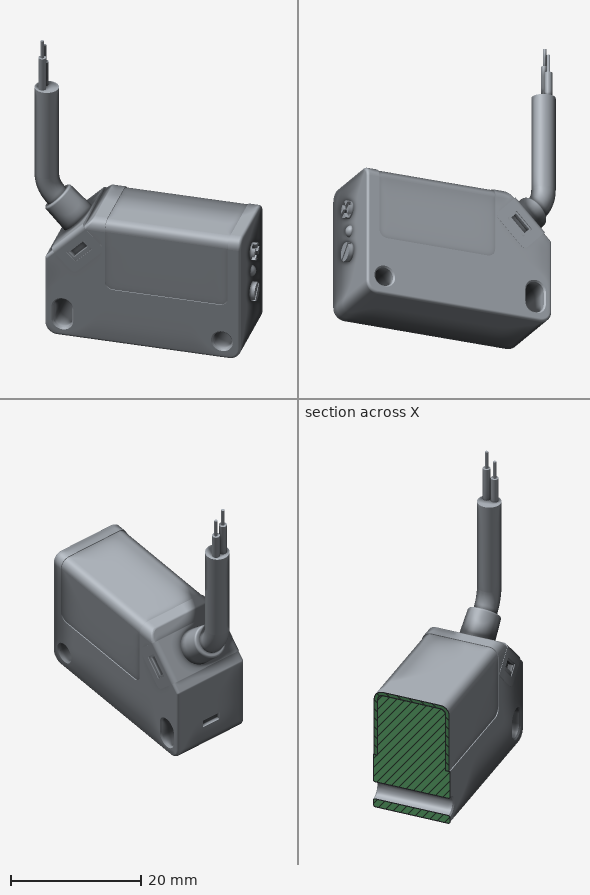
import cadquery as cq
import math


HOUSING_LENGTH = 31.2
HOUSING_WIDTH = 12.95
HOUSING_HEIGHT = 21.05
BOTTOM_CORNER_RADIUS = 1.95
TOP_EDGE_RADIUS = 1.7
EDGE_RADIUS = 0.45
SLOPE_START_HEIGHT = 13.5
SLOPE_ANGLE = 45.0
SLOPE_RUN = (HOUSING_HEIGHT - SLOPE_START_HEIGHT) / math.tan(math.radians(SLOPE_ANGLE))

HOLE_DIAMETER = 3.0
HOLE_CHAMFER = 0.25
SLOT_HOLE_X = 2.8
SLOT_HOLE_Z = 3.9
SLOT_HOLE_LENGTH = 5.0
ROUND_HOLE_X = 28.25
ROUND_HOLE_Z = 3.0

NOTCH_WIDTH = 3.2
NOTCH_BOTTOM = 4.35
NOTCH_BACK_TOP = 4.95
NOTCH_MOUTH_TOP = 5.65
NOTCH_DEPTH = 0.65

COVER_START = 9.55
COVER_END = 29.15
COVER_BOTTOM = 9.35
COVER_CORNER_RADIUS = 1.35
COVER_RECESS = 0.15
COVER_THICKNESS = 0.6

CABLE_DIAMETER = 3.75
CABLE_X = -1.5
CABLE_TOP = 39.8
BEND_START_HEIGHT = 24.6
BEND_RADIUS = 5.15
WIRE_X_OFFSET = 0.55
WIRE_X = CABLE_X - WIRE_X_OFFSET
WIRE_Y_OFFSET = 0.68
INSULATION_DIAMETER = 1.2
CONDUCTOR_DIAMETER = 0.55
CONDUCTOR_LENGTH = 2.95
WIRE_SEAT_DEPTH = 1.45
OVERALL_HEIGHT = 48.25
SHORT_WIRE_DROP = 1.45

GLAND_WIDTH = 13.05
GLAND_LENGTH = 7.0
GLAND_PROUD = 0.4
GLAND_SEAT_DEPTH = 4.85
GLAND_CORNER_RADIUS = 0.8
SLEEVE_LENGTH = 4.7
SLEEVE_BASE_DIAMETER = 5.7
SLEEVE_TIP_DIAMETER = 5.3
SLEEVE_TIP_RADIUS = 0.35
CABLE_SEAT_DEPTH = 2.4

WINDOW_LENGTH = 3.7
WINDOW_HEIGHT = 2.08
WINDOW_DEPTH_BELOW_SLOPE = 2.45
WINDOW_RECESS = 0.15
POCKET_MARGIN = 0.3
POCKET_HEIGHT = 1.1
POCKET_DEPTH = 0.95

UPPER_ADJUSTER_DIAMETER = 2.8
LOWER_ADJUSTER_DIAMETER = 3.0
ADJUSTER_PROUD = 0.8
ADJUSTER_SEAT_DEPTH = 0.7
DRIVER_SLOT_DEPTH = 0.6
UPPER_ADJUSTER_Z = 15.85
UPPER_SLOT_WIDTH = 0.75
UPPER_SLOT_ANGLES = [-26.0, 64.0]
LOWER_ADJUSTER_Z = 8.8
LOWER_SLOT_WIDTH = 0.4
LOWER_SLOT_ANGLES = [-42.0]
INDICATOR_DIAMETER = 1.9
INDICATOR_Z = 12.3
INDICATOR_RISE = 0.68
INDICATOR_SEAT_DEPTH = 0.7

BEND_TANGENT = BEND_RADIUS * math.tan(math.radians(SLOPE_ANGLE / 2))
AXIS_CORNER_Z = BEND_START_HEIGHT - BEND_TANGENT
GLAND_X = (CABLE_X + AXIS_CORNER_Z - SLOPE_START_HEIGHT) / 2
GLAND_Z = GLAND_X + SLOPE_START_HEIGHT
SLOPE_PLANE = cq.Plane(
    origin=(GLAND_X, 0, GLAND_Z),
    xDir=(math.cos(math.radians(SLOPE_ANGLE)), 0, math.sin(math.radians(SLOPE_ANGLE))),
    normal=(-math.sin(math.radians(SLOPE_ANGLE)), 0, math.cos(math.radians(SLOPE_ANGLE))),
)


def envelope(inset):
    """Bar with the housing's rounded top edges, moved inward by inset on the top and both sides."""
    bar = cq.Workplane("XY").box(
        HOUSING_LENGTH,
        HOUSING_WIDTH - 2 * inset,
        HOUSING_HEIGHT - inset,
        centered=(False, True, False),
    )
    return bar.edges("|X and >Z").fillet(TOP_EDGE_RADIUS - inset)


def housing_block():
    """Housing outside: rounded lower corners, sloped cable end and softened edges."""
    block = envelope(0).edges("|Y and <Z").fillet(BOTTOM_CORNER_RADIUS)
    corner = (
        cq.Workplane("XZ")
        .polyline([(0, SLOPE_START_HEIGHT), (SLOPE_RUN, HOUSING_HEIGHT), (0, HOUSING_HEIGHT)])
        .close()
        .extrude(HOUSING_WIDTH, both=True)
    )
    block = block.cut(corner)
    sharp_edges = "<(1, 0, -1) or %CIRCLE or |Z or (|X and <Z) or (|Y and >Z)"
    return block.edges(sharp_edges).fillet(EDGE_RADIUS)


def side_plane(x, z):
    return cq.Workplane("XZ", origin=(x, -HOUSING_WIDTH / 2, z))


def chamfered_bore(outline, mouth_outline):
    """Bore across the whole width, widened by a chamfer at both mouths."""
    bore = outline.extrude(-HOUSING_WIDTH)
    mouth = mouth_outline.extrude(-HOLE_CHAMFER, taper=45)
    return bore.union(mouth).union(mouth.mirror("XZ"))


def slot_hole():
    growth = 2 * HOLE_CHAMFER
    return chamfered_bore(
        side_plane(SLOT_HOLE_X, SLOT_HOLE_Z).slot2D(SLOT_HOLE_LENGTH, HOLE_DIAMETER, 90),
        side_plane(SLOT_HOLE_X, SLOT_HOLE_Z).slot2D(SLOT_HOLE_LENGTH + growth, HOLE_DIAMETER + growth, 90),
    )


def round_hole():
    return chamfered_bore(
        side_plane(ROUND_HOLE_X, ROUND_HOLE_Z).circle(HOLE_DIAMETER / 2),
        side_plane(ROUND_HOLE_X, ROUND_HOLE_Z).circle(HOLE_DIAMETER / 2 + HOLE_CHAMFER),
    )


def latch_notch():
    """Notch in the cable-end face whose ceiling falls toward its back wall."""
    return (
        cq.Workplane("XZ")
        .polyline(
            [
                (0, NOTCH_BOTTOM),
                (NOTCH_DEPTH, NOTCH_BOTTOM),
                (NOTCH_DEPTH, NOTCH_BACK_TOP),
                (0, NOTCH_MOUTH_TOP),
            ]
        )
        .close()
        .extrude(NOTCH_WIDTH / 2, both=True)
    )


def cover_zone():
    """Region across the housing that the cover spans, open at the top."""
    zone = cq.Workplane("XY").box(
        COVER_END - COVER_START,
        2 * HOUSING_WIDTH,
        HOUSING_HEIGHT,
        centered=(False, True, False),
    )
    return (
        zone.translate((COVER_START, 0, COVER_BOTTOM))
        .edges("|Y and <Z")
        .fillet(COVER_CORNER_RADIUS)
    )


def cover_pocket():
    return cover_zone().cut(envelope(COVER_RECESS + COVER_THICKNESS))


def make_cover():
    return cover_pocket().intersect(envelope(COVER_RECESS))


def gland_block():
    """Block through the slope, with its two inner corners rounded."""
    block = cq.Workplane(SLOPE_PLANE).box(
        GLAND_LENGTH, GLAND_WIDTH, GLAND_PROUD + GLAND_SEAT_DEPTH, centered=(True, True, False)
    )
    block = block.translate(SLOPE_PLANE.zDir * -GLAND_SEAT_DEPTH)
    return block.edges("|Y and <(-1, 0, 1)").fillet(GLAND_CORNER_RADIUS)


def gland_sleeve():
    """Tapered sleeve around the cable, rounded at its tip."""
    taper = math.degrees(
        math.atan((SLEEVE_BASE_DIAMETER - SLEEVE_TIP_DIAMETER) / 2 / SLEEVE_LENGTH)
    )
    return (
        cq.Workplane(SLOPE_PLANE)
        .workplane(offset=GLAND_PROUD)
        .circle(SLEEVE_BASE_DIAMETER / 2)
        .extrude(SLEEVE_LENGTH, taper=taper)
        .faces(">(-1, 0, 1)")
        .edges()
        .fillet(SLEEVE_TIP_RADIUS)
    )


def latch_window():
    """Shallow recess with a deeper pocket beside its outer edge, in the -Y side of the gland."""
    depth_axis = -WINDOW_DEPTH_BELOW_SLOPE
    outer_edge = depth_axis + WINDOW_HEIGHT / 2
    pocket_center = outer_edge - POCKET_MARGIN - POCKET_HEIGHT / 2
    side = -GLAND_WIDTH / 2
    plane = cq.Workplane(SLOPE_PLANE)
    recess = plane.box(WINDOW_LENGTH, 2 * WINDOW_RECESS, WINDOW_HEIGHT)
    pocket = plane.box(WINDOW_LENGTH - 2 * POCKET_MARGIN, 2 * POCKET_DEPTH, POCKET_HEIGHT)
    recess = recess.translate(SLOPE_PLANE.yDir * side + SLOPE_PLANE.zDir * depth_axis)
    pocket = pocket.translate(SLOPE_PLANE.yDir * side + SLOPE_PLANE.zDir * pocket_center)
    return recess.union(pocket)


def make_gland(cable):
    block = gland_block().faces(">(-1, 0, 1)").edges("not |Y").fillet(GLAND_CORNER_RADIUS)
    window = latch_window()
    gland = block.union(gland_sleeve())
    return gland.cut(window).cut(window.mirror("XZ")).cut(cable)


def make_cable():
    """Cable that comes straight down, bends toward the slope and ends inside the gland."""
    turn = math.radians(SLOPE_ANGLE)
    bend_center_x = CABLE_X + BEND_RADIUS
    bend_middle = (
        bend_center_x - BEND_RADIUS * math.cos(turn / 2),
        BEND_START_HEIGHT - BEND_RADIUS * math.sin(turn / 2),
    )
    bend_end = (
        bend_center_x - BEND_RADIUS * math.cos(turn),
        BEND_START_HEIGHT - BEND_RADIUS * math.sin(turn),
    )
    seat = GLAND_PROUD + SLEEVE_LENGTH - CABLE_SEAT_DEPTH
    seat_center = (GLAND_X - seat * math.sin(turn), GLAND_Z + seat * math.cos(turn))
    path = (
        cq.Workplane("XZ")
        .moveTo(CABLE_X, CABLE_TOP)
        .lineTo(CABLE_X, BEND_START_HEIGHT)
        .threePointArc(bend_middle, bend_end)
        .lineTo(*seat_center)
    )
    end_face = cq.Workplane("XY", origin=(CABLE_X, 0, CABLE_TOP)).circle(CABLE_DIAMETER / 2)
    return end_face.sweep(path)


def make_wire(y, top):
    """Insulated wire seated in the cable end, with a stripped conductor at its top."""
    start = CABLE_TOP - WIRE_SEAT_DEPTH
    insulation_top = top - CONDUCTOR_LENGTH
    return (
        cq.Workplane("XY", origin=(WIRE_X, y, start))
        .circle(INSULATION_DIAMETER / 2)
        .extrude(insulation_top - start)
        .faces(">Z")
        .workplane()
        .circle(CONDUCTOR_DIAMETER / 2)
        .extrude(CONDUCTOR_LENGTH)
    )


def end_face_plane(z):
    """Plane on the far end face, with its local x along +Y and its local y along +Z."""
    return cq.Workplane("YZ", origin=(HOUSING_LENGTH, 0, z))


def make_adjuster(diameter, z, slot_width, slot_angles):
    """Round adjuster with driver slots across its face; each angle tilts a slot's -Y end upward."""
    adjuster = (
        end_face_plane(z)
        .workplane(offset=-ADJUSTER_SEAT_DEPTH)
        .circle(diameter / 2)
        .extrude(ADJUSTER_SEAT_DEPTH + ADJUSTER_PROUD)
    )
    for slot_angle in slot_angles:
        slot = (
            end_face_plane(z)
            .workplane(offset=ADJUSTER_PROUD)
            .transformed(rotate=(0, 0, -slot_angle))
            .rect(2 * diameter, slot_width)
            .extrude(-DRIVER_SLOT_DEPTH)
        )
        adjuster = adjuster.cut(slot)
    return adjuster


def make_indicator():
    """Round lamp lens with a domed face."""
    radius = INDICATOR_DIAMETER / 2
    dome_radius = (radius**2 + INDICATOR_RISE**2) / (2 * INDICATOR_RISE)
    half_angle = math.asin(radius / dome_radius) / 2
    dome_middle = (
        INDICATOR_RISE - dome_radius * (1 - math.cos(half_angle)),
        dome_radius * math.sin(half_angle),
    )
    return (
        cq.Workplane("XY", origin=(HOUSING_LENGTH, 0, INDICATOR_Z))
        .moveTo(-INDICATOR_SEAT_DEPTH, 0)
        .lineTo(-INDICATOR_SEAT_DEPTH, radius)
        .lineTo(0, radius)
        .threePointArc(dome_middle, (INDICATOR_RISE, 0))
        .close()
        .revolve(360, (0, 0, 0), (1, 0, 0))
    )


def make_housing(end_parts):
    housing = housing_block().cut(slot_hole()).cut(round_hole()).cut(latch_notch())
    housing = housing.cut(cover_pocket()).cut(gland_block())
    for end_part in end_parts:
        housing = housing.cut(end_part)
    return housing


solid_cable = make_cable()
wires = [
    make_wire(-WIRE_Y_OFFSET, OVERALL_HEIGHT),
    make_wire(WIRE_Y_OFFSET, OVERALL_HEIGHT - SHORT_WIRE_DROP),
]
gland = make_gland(solid_cable)
cable = solid_cable
for wire in wires:
    cable = cable.cut(wire)
adjusters = [
    make_adjuster(UPPER_ADJUSTER_DIAMETER, UPPER_ADJUSTER_Z, UPPER_SLOT_WIDTH, UPPER_SLOT_ANGLES),
    make_adjuster(LOWER_ADJUSTER_DIAMETER, LOWER_ADJUSTER_Z, LOWER_SLOT_WIDTH, LOWER_SLOT_ANGLES),
]
indicator = make_indicator()
cover = make_cover()
housing = make_housing([*adjusters, indicator])

bodies = [housing, cover, gland, cable, *wires, *adjusters, indicator]
result = cq.Compound.makeCompound([body.val() for body in bodies])